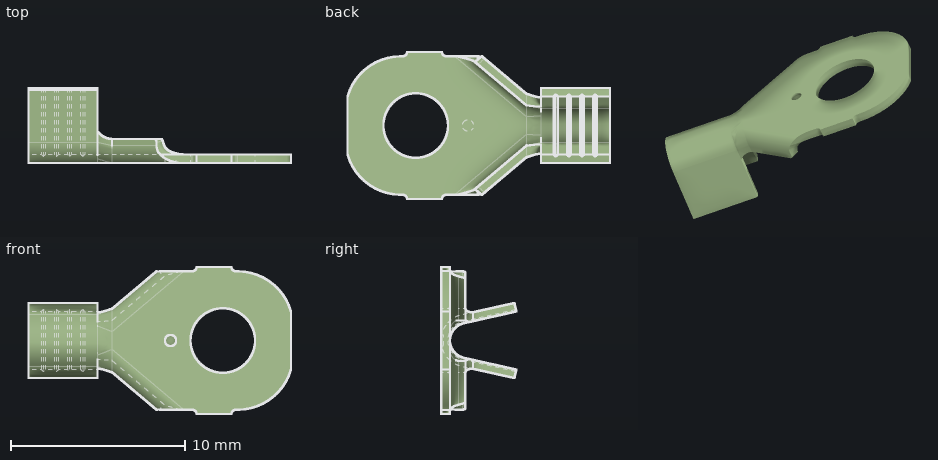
import cadquery as cq
import math


total_length = 15.06
total_depth = 4.32
thickness = 0.51

crimp_length = 3.98
crimp_radius = 1.52
leg_angle = math.radians(12.6)
groove_count = 4
groove_pitch = 0.75
groove_width = 0.24
groove_depth = 0.12

neck_end = 4.8
neck_top = 1.82
neck_split_angle = math.radians(33)
neck_trim_height = 2.11

flare_angle = math.radians(40.1)
flare_radius = 1.01
flare_height = 1.4
flare_flat_half = 0.51
flare_corner_radius = 0.2

plate_half_width = 3.98
plate_end_half_width = 1.65
plate_round_start = 11.99
tab_start = 9.64
tab_end = 11.64
tab_half_width = 4.22
tab_root_radius = 0.25
stud_x = 11.15
stud_diameter = 3.69
dimple_x = 8.15
dimple_diameter = 0.65
dimple_depth = 0.15

crimp_inner_radius = crimp_radius - thickness
leg_length = (
    total_depth - crimp_radius + crimp_inner_radius * math.sin(leg_angle)
) / math.cos(leg_angle)
flare_run = (plate_half_width - flare_flat_half) / math.tan(flare_angle)
bend_line_end = neck_end + flare_run


def barrel_point(radius, angle, side):
    """(Y, Z) on the barrel's round; the angle is measured from its lowest line."""
    return (crimp_radius - radius * math.cos(angle), side * radius * math.sin(angle))


def leg_point(radius, distance, side):
    """(Y, Z) on a barrel leg, at a distance from where it leaves the round."""
    start_y, start_z = barrel_point(radius, math.pi / 2 - leg_angle, side)
    return (start_y + distance * math.cos(leg_angle), start_z + side * distance * math.sin(leg_angle))


def barrel_cavity(radius, length):
    """Sketch wire bounded by the two legs and the round, closed across the tips."""
    return (
        cq.Sketch()
        .segment(leg_point(radius, length, 1), leg_point(radius, 0, 1))
        .arc(leg_point(radius, 0, 1), barrel_point(radius, 0, 1), leg_point(radius, 0, -1))
        .segment(leg_point(radius, 0, -1), leg_point(radius, length, -1))
        .close()
        .assemble()
    )


def make_groove(center_x):
    """V groove that follows the inside of the barrel from tip to tip."""
    overrun = leg_length + thickness
    mouth = barrel_cavity(crimp_inner_radius, overrun)
    root = barrel_cavity(crimp_inner_radius + groove_depth, overrun)
    half_width = groove_width / 2
    rising = (
        cq.Workplane("YZ", origin=(center_x - half_width, 0, 0))
        .placeSketch(mouth, root.moved(cq.Location(cq.Vector(0, 0, half_width))))
        .loft(ruled=True)
    )
    falling = rising.mirror("YZ", (center_x, 0, 0))
    return rising.union(falling)


def make_crimp():
    outer, inner = crimp_radius, crimp_inner_radius
    barrel = (
        cq.Workplane("YZ")
        .moveTo(*leg_point(outer, leg_length, 1))
        .lineTo(*leg_point(outer, 0, 1))
        .threePointArc(barrel_point(outer, 0, 1), leg_point(outer, 0, -1))
        .lineTo(*leg_point(outer, leg_length, -1))
        .lineTo(*leg_point(inner, leg_length, -1))
        .lineTo(*leg_point(inner, 0, -1))
        .threePointArc(barrel_point(inner, 0, 1), leg_point(inner, 0, 1))
        .lineTo(*leg_point(inner, leg_length, 1))
        .close()
        .extrude(crimp_length)
    )
    for index in range(groove_count):
        offset = (index - (groove_count - 1) / 2) * groove_pitch
        barrel = barrel.cut(make_groove(crimp_length / 2 + offset))
    return barrel


def neck_loft(inset):
    """Solid from the barrel section to the flare section, inset from the outside of the sheet."""
    round_radius = crimp_radius - inset
    leg_reach = (neck_trim_height - leg_point(round_radius, 0, 1)[0]) / math.cos(leg_angle)
    middle_of_side = (math.pi / 2 - leg_angle + neck_split_angle) / 2
    bend_radius = flare_radius - inset
    bend_half_width = bend_radius / math.cos(flare_angle)
    wall_z = flare_flat_half + bend_half_width
    return (
        cq.Workplane("YZ", origin=(crimp_length, 0, 0))
        .moveTo(*leg_point(round_radius, leg_reach, 1))
        .lineTo(*leg_point(round_radius, 0, 1))
        .threePointArc(
            barrel_point(round_radius, middle_of_side, 1), barrel_point(round_radius, neck_split_angle, 1)
        )
        .threePointArc(barrel_point(round_radius, 0, 1), barrel_point(round_radius, neck_split_angle, -1))
        .threePointArc(barrel_point(round_radius, middle_of_side, -1), leg_point(round_radius, 0, -1))
        .lineTo(*leg_point(round_radius, leg_reach, -1))
        .close()
        .workplane(offset=neck_end - crimp_length)
        .moveTo(neck_trim_height, wall_z)
        .lineTo(flare_radius, wall_z)
        .ellipseArc(bend_radius, bend_half_width, 90, 180, startAtCurrent=True)
        .lineTo(inset, -flare_flat_half)
        .ellipseArc(bend_radius, bend_half_width, 180, 270, startAtCurrent=True)
        .lineTo(neck_trim_height, -wall_z)
        .close()
        .loft(ruled=True)
    )


def make_neck():
    """Lofted channel whose side tops sweep down in an arc that ends level with the flare."""
    above = (
        cq.Workplane("XY")
        .moveTo(bend_line_end, flare_height)
        .lineTo(neck_end, flare_height)
        .tangentArcPoint((crimp_length, neck_top), relative=False)
        .lineTo(crimp_length, 2 * neck_trim_height)
        .lineTo(bend_line_end, 2 * neck_trim_height)
        .close()
        .extrude(plate_half_width, both=True)
    )
    return neck_loft(0).cut(neck_loft(thickness)).cut(above)


def make_flare_side():
    """Fold and upright wall on the +Z side, ended at the plate's side."""
    along = cq.Vector(math.cos(flare_angle), 0, math.sin(flare_angle))
    outward = cq.Vector(-math.sin(flare_angle), 0, math.cos(flare_angle))
    bend_start = cq.Vector(neck_end, 0, flare_flat_half)
    inner_radius = flare_radius - thickness
    sheet = (
        cq.Workplane(cq.Plane(bend_start, outward, along * -1))
        .moveTo(0, 0)
        .radiusArc((flare_radius, flare_radius), -flare_radius)
        .lineTo(flare_radius, flare_height)
        .lineTo(inner_radius, flare_height)
        .lineTo(inner_radius, flare_radius)
        .radiusArc((0, thickness), inner_radius)
        .close()
        .extrude(total_length, both=True)
    )
    past_neck = cq.Workplane("XY", origin=(neck_end, 0, 0)).box(
        total_length, total_length, 2 * plate_half_width, centered=(False, True, True)
    )
    side = sheet.intersect(past_neck).cut(make_end_bevel())
    corner = side.faces(">Y").edges(">Z")
    return side.newObject([side.val().fillet(flare_corner_radius, corner.vals())])


def make_end_bevel():
    """Twisted wedge that turns the end of a side from square to Z at the plate's
    inner face to square to the wall at the wall's top."""
    outer_offset = flare_radius / math.cos(flare_angle)
    corner_x = bend_line_end - outer_offset / math.tan(flare_angle)
    reach = bend_line_end - corner_x
    drop = reach / math.tan(flare_angle)
    return (
        cq.Workplane("XZ", origin=(corner_x, thickness, plate_half_width))
        .polyline([(0, 0), (reach, 0), (reach, reach), (0, reach)])
        .close()
        .workplane(offset=thickness - flare_height)
        .polyline([(0, 0), (reach, -drop), (reach, reach), (0, reach)])
        .close()
        .loft(ruled=True)
    )


def make_plate():
    """Flat tongue and ring, with a side tab whose flanks run out in concave rounds."""
    tab_rise = tab_half_width - plate_half_width
    root_run = math.sqrt(tab_root_radius**2 - (tab_root_radius - tab_rise) ** 2)
    half = (
        cq.Workplane("XZ")
        .moveTo(neck_end, 0)
        .lineTo(neck_end, flare_flat_half)
        .lineTo(bend_line_end, plate_half_width)
        .lineTo(tab_start - root_run, plate_half_width)
        .tangentArcPoint((tab_start, tab_half_width), relative=False)
        .lineTo(tab_end, tab_half_width)
        .radiusArc((tab_end + root_run, plate_half_width), -tab_root_radius)
        .lineTo(plate_round_start, plate_half_width)
        .tangentArcPoint((total_length, plate_end_half_width), relative=False)
        .lineTo(total_length, 0)
        .close()
        .extrude(-thickness)
    )
    plate = half.union(half.mirror("XY"))
    stud_hole = cq.Workplane("XZ").center(stud_x, 0).circle(stud_diameter / 2).extrude(-thickness)
    dimple = cq.Workplane("XZ").center(dimple_x, 0).circle(dimple_diameter / 2).extrude(-dimple_depth)
    return plate.cut(stud_hole).cut(dimple)


flare_side = make_flare_side()
result = make_crimp().union(make_neck()).union(make_plate()).union(flare_side).union(flare_side.mirror("XY"))